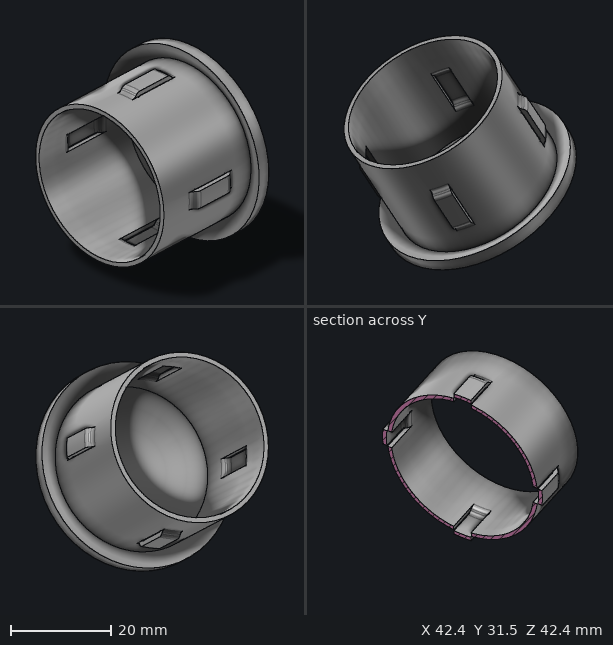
import cadquery as cq
import math


cap_radius = 21.2
rim_height = 2.9
dome_rise = 4.55

tube_radius = 17.5
wall = 1.0
tube_length = 24.0

clip_count = 4
clip_width = 4.0
clip_flat_length = 8.05
clip_middle_y = -10.25
clip_rise = 1.1
bend_radius = 1.4
bend_angle = 45.0

dome_top_y = rim_height + dome_rise
dome_radius = (cap_radius**2 + dome_rise**2) / (2 * dome_rise)
dome_center_y = dome_top_y - dome_radius
underside_radius = math.hypot(cap_radius, dome_center_y)

bend_sin = math.sin(math.radians(bend_angle))
bend_cos = math.cos(math.radians(bend_angle))
slope_length = (clip_rise - 2 * bend_radius * (1 - bend_cos)) / bend_sin
ramp_length = 2 * bend_radius * bend_sin + slope_length * bend_cos


def arc_point(sphere_radius, x):
    """Point at distance x from the axis on a sphere around the dome centre."""
    return (x, dome_center_y + math.sqrt(sphere_radius**2 - x**2))


def revolve_about_axis(outline):
    return outline.close().revolve(360, (0, 0, 0), (0, 1, 0))


def make_cap():
    return revolve_about_axis(
        cq.Workplane("XY")
        .moveTo(cap_radius, 0)
        .lineTo(cap_radius, rim_height)
        .threePointArc(arc_point(dome_radius, cap_radius / 2), (0, dome_top_y))
        .lineTo(*arc_point(underside_radius, 0))
        .threePointArc(arc_point(underside_radius, cap_radius / 2), (cap_radius, 0))
    )


def make_tube():
    """Tube from its open end up into the hollow underside of the cap."""
    inner_radius = tube_radius - wall
    middle_radius = tube_radius - wall / 2
    shell_middle = (dome_radius + underside_radius) / 2
    return revolve_about_axis(
        cq.Workplane("XY")
        .moveTo(inner_radius, -tube_length)
        .lineTo(tube_radius, -tube_length)
        .lineTo(*arc_point(shell_middle, tube_radius))
        .threePointArc(arc_point(shell_middle, middle_radius), arc_point(shell_middle, inner_radius))
    )


def on_circle(center, radius, angle):
    """Point on a circle, with the angle in degrees measured from +X towards +Y."""
    turn = math.radians(angle)
    return (center[0] + radius * math.cos(turn), center[1] + radius * math.sin(turn))


def make_clip_block(base_radius, foot_radius, flat_length):
    """
    Block on the +X side, as wide as a clip, from base_radius out to one face of the strip.

    That face rises from foot_radius along a ramp at each end to a flat of the given length.
    """
    flat_end = flat_length / 2
    foot_end = flat_end + ramp_length
    crest_radius = foot_radius + clip_rise
    crest_center = (crest_radius - bend_radius, flat_end)
    foot_center = (foot_radius + bend_radius, foot_end)

    half_ring = revolve_about_axis(
        cq.Workplane("XY")
        .moveTo(base_radius, 0)
        .lineTo(crest_radius, 0)
        .lineTo(crest_radius, flat_end)
        .threePointArc(
            on_circle(crest_center, bend_radius, bend_angle / 2),
            on_circle(crest_center, bend_radius, bend_angle),
        )
        .lineTo(*on_circle(foot_center, bend_radius, 180 + bend_angle))
        .threePointArc(
            on_circle(foot_center, bend_radius, 180 + bend_angle / 2),
            (foot_radius, foot_end),
        )
        .lineTo(base_radius, foot_end)
    )
    ring = half_ring.union(half_ring.mirror("XZ"))
    zone = cq.Workplane("XY").box(cap_radius, 2 * foot_end, clip_width, centered=(False, True, True))
    return ring.intersect(zone).translate((0, clip_middle_y, 0))


def add_clips(tube):
    inset = wall * math.tan(math.radians(bend_angle / 2))
    bore_radius = tube_radius - wall
    bulge = make_clip_block(tube_radius - wall / 2, tube_radius, clip_flat_length)
    hollow = make_clip_block(bore_radius - wall, bore_radius, clip_flat_length - 2 * inset)

    for index in range(clip_count):
        turn = ((0, 0, 0), (0, 1, 0), index * 360 / clip_count)
        tube = tube.union(bulge.rotate(*turn)).cut(hollow.rotate(*turn))
    return tube


result = make_cap().union(add_clips(make_tube()))